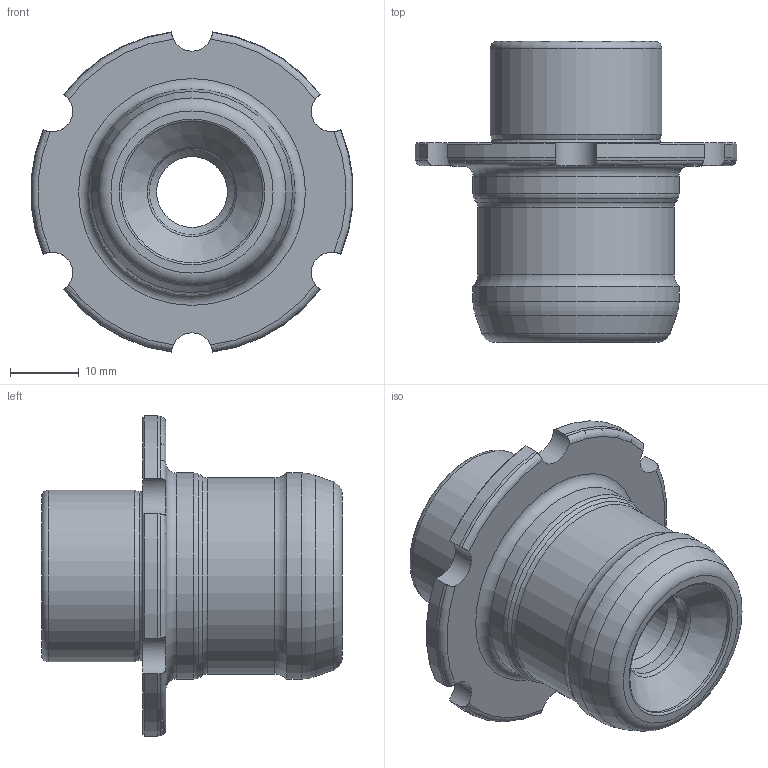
import cadquery as cq
import math


TOTAL_LENGTH = 43.8
FLANGE_FRONT = 25.7
FLANGE_BACK = 29.05

FLANGE_RADIUS = 47.0 / 2
FLANGE_TAPER_START = 26.9
FLANGE_TAPER_ANGLE = math.radians(12)
FLANGE_EDGE_ROUND = 1.0
FLANGE_BACK_CHAMFER = 0.2
NOTCH_COUNT = 6
NOTCH_RADIUS = 3.0

COLLAR_RADIUS = 30.0 / 2
WAIST_RADIUS = 28.59 / 2
NOSE_ROUND = 2.0
NOSE_ANGLE = math.radians(20)
NOSE_BLEND_RADIUS = 6.0
NOSE_FLAT_RADIUS = 11.8
NOSE_BAND_END = 8.1
WAIST_FRONT_ROUND = 2.5
WAIST_BACK = 19.65
WAIST_RAMP_ANGLE = math.radians(30)
WAIST_RAMP_ROUND = 1.4
FLANGE_FILLET = 1.5

SPIGOT_RADIUS = 25.0 / 2
SPIGOT_NECK_DEPTH = 0.3
SPIGOT_NECK_FILLET = 0.5
SPIGOT_START = 30.25
SPIGOT_END_ROUND = 1.0

BORE_RADIUS = 10.3 / 2
COUNTERBORE_RADIUS = 12.4 / 2
MOUTH_RADIUS = 20.6 / 2
MOUTH_ROUND = 0.3
CONE_START = 0.7
MOUTH_ANGLE = math.radians(45)
THROAT_ROUND = 1.0
COUNTERBORE_LENGTH = 1.55
BORE_CHAMFER_ANGLE = math.radians(45)


def arc_point(center, radius, angle):
    """Point on a profile arc; the angle is measured from the radial direction."""
    return (
        center[0] + radius * math.cos(angle),
        center[1] + radius * math.sin(angle),
    )


def make_body():
    """Solid of revolution without the bore; profile points are (radius, axial)."""
    nose_center = (NOSE_FLAT_RADIUS, NOSE_ROUND)
    nose_mid_angle = -(math.pi / 2 + NOSE_ANGLE) / 2
    cone_start = arc_point(nose_center, NOSE_ROUND, -NOSE_ANGLE)
    blend_center_radius = COLLAR_RADIUS - NOSE_BLEND_RADIUS
    cone_end_radius = blend_center_radius + NOSE_BLEND_RADIUS * math.cos(NOSE_ANGLE)
    cone_end_axial = cone_start[1] + (cone_end_radius - cone_start[0]) / math.tan(NOSE_ANGLE)
    band_start = cone_end_axial + NOSE_BLEND_RADIUS * math.sin(NOSE_ANGLE)
    blend_center = (blend_center_radius, band_start)

    waist_step = COLLAR_RADIUS - WAIST_RADIUS
    waist_sweep = math.acos(1 - waist_step / WAIST_FRONT_ROUND)
    waist_front = NOSE_BAND_END + WAIST_FRONT_ROUND * math.sin(waist_sweep)
    waist_center = (WAIST_RADIUS + WAIST_FRONT_ROUND, waist_front)

    ramp_round_height = WAIST_RAMP_ROUND * (1 - math.cos(WAIST_RAMP_ANGLE))
    ramp_length = (waist_step - 2 * ramp_round_height) / math.tan(WAIST_RAMP_ANGLE)
    collar_start = WAIST_BACK + 2 * WAIST_RAMP_ROUND * math.sin(WAIST_RAMP_ANGLE) + ramp_length
    ramp_foot_center = (WAIST_RADIUS + WAIST_RAMP_ROUND, WAIST_BACK)
    ramp_head_center = (COLLAR_RADIUS - WAIST_RAMP_ROUND, collar_start)

    fillet_center = (COLLAR_RADIUS + FLANGE_FILLET, FLANGE_FRONT - FLANGE_FILLET)

    edge_center_axial = FLANGE_FRONT + FLANGE_EDGE_ROUND
    taper_end_axial = edge_center_axial - FLANGE_EDGE_ROUND * math.sin(FLANGE_TAPER_ANGLE)
    taper_drop = (FLANGE_TAPER_START - taper_end_axial) * math.tan(FLANGE_TAPER_ANGLE)
    taper_end_radius = FLANGE_RADIUS - taper_drop
    edge_center = (
        taper_end_radius - FLANGE_EDGE_ROUND * math.cos(FLANGE_TAPER_ANGLE),
        edge_center_axial,
    )
    edge_mid_angle = -(math.pi / 2 + FLANGE_TAPER_ANGLE) / 2

    neck_radius = SPIGOT_RADIUS - SPIGOT_NECK_DEPTH
    neck_fillet_center = (neck_radius + SPIGOT_NECK_FILLET, FLANGE_BACK + SPIGOT_NECK_FILLET)
    spigot_end_center = (SPIGOT_RADIUS - SPIGOT_END_ROUND, TOTAL_LENGTH - SPIGOT_END_ROUND)

    profile = (
        cq.Workplane("XY")
        .moveTo(0, 0)
        .lineTo(NOSE_FLAT_RADIUS, 0)
        .threePointArc(arc_point(nose_center, NOSE_ROUND, nose_mid_angle), cone_start)
        .lineTo(cone_end_radius, cone_end_axial)
        .threePointArc(
            arc_point(blend_center, NOSE_BLEND_RADIUS, -NOSE_ANGLE / 2),
            (COLLAR_RADIUS, band_start),
        )
        .lineTo(COLLAR_RADIUS, NOSE_BAND_END)
        .threePointArc(
            arc_point(waist_center, WAIST_FRONT_ROUND, math.pi + waist_sweep / 2),
            (WAIST_RADIUS, waist_front),
        )
        .lineTo(WAIST_RADIUS, WAIST_BACK)
        .threePointArc(
            arc_point(ramp_foot_center, WAIST_RAMP_ROUND, math.pi - WAIST_RAMP_ANGLE / 2),
            arc_point(ramp_foot_center, WAIST_RAMP_ROUND, math.pi - WAIST_RAMP_ANGLE),
        )
        .lineTo(*arc_point(ramp_head_center, WAIST_RAMP_ROUND, -WAIST_RAMP_ANGLE))
        .threePointArc(
            arc_point(ramp_head_center, WAIST_RAMP_ROUND, -WAIST_RAMP_ANGLE / 2),
            (COLLAR_RADIUS, collar_start),
        )
        .lineTo(COLLAR_RADIUS, fillet_center[1])
        .threePointArc(
            arc_point(fillet_center, FLANGE_FILLET, math.radians(135)),
            (fillet_center[0], FLANGE_FRONT),
        )
        .lineTo(edge_center[0], FLANGE_FRONT)
        .threePointArc(
            arc_point(edge_center, FLANGE_EDGE_ROUND, edge_mid_angle),
            (taper_end_radius, taper_end_axial),
        )
        .lineTo(FLANGE_RADIUS, FLANGE_TAPER_START)
        .lineTo(FLANGE_RADIUS, FLANGE_BACK - FLANGE_BACK_CHAMFER)
        .lineTo(FLANGE_RADIUS - FLANGE_BACK_CHAMFER, FLANGE_BACK)
        .lineTo(neck_fillet_center[0], FLANGE_BACK)
        .threePointArc(
            arc_point(neck_fillet_center, SPIGOT_NECK_FILLET, math.radians(-135)),
            (neck_radius, neck_fillet_center[1]),
        )
        .lineTo(SPIGOT_RADIUS, SPIGOT_START)
        .lineTo(SPIGOT_RADIUS, spigot_end_center[1])
        .threePointArc(
            arc_point(spigot_end_center, SPIGOT_END_ROUND, math.radians(45)),
            (spigot_end_center[0], TOTAL_LENGTH),
        )
        .lineTo(0, TOTAL_LENGTH)
        .close()
    )
    return profile.revolve(360, (0, 0, 0), (0, 1, 0))


def make_bore():
    """Rounded lip, conical mouth, rounded throat, counterbore and through bore as one cutter."""
    lip_center = (MOUTH_RADIUS + MOUTH_ROUND, MOUTH_ROUND)
    throat_center_radius = COUNTERBORE_RADIUS + THROAT_ROUND
    throat_start_radius = throat_center_radius - THROAT_ROUND * math.cos(MOUTH_ANGLE)
    cone_length = (MOUTH_RADIUS - throat_start_radius) / math.tan(MOUTH_ANGLE)
    throat_start = CONE_START + cone_length
    throat_end = throat_start + THROAT_ROUND * math.sin(MOUTH_ANGLE)
    throat_center = (throat_center_radius, throat_end)
    counterbore_end = throat_end + COUNTERBORE_LENGTH
    bore_start = counterbore_end + (COUNTERBORE_RADIUS - BORE_RADIUS) / math.tan(BORE_CHAMFER_ANGLE)

    profile = (
        cq.Workplane("XY")
        .moveTo(0, 0)
        .lineTo(lip_center[0], 0)
        .threePointArc(
            arc_point(lip_center, MOUTH_ROUND, math.radians(-135)),
            (MOUTH_RADIUS, lip_center[1]),
        )
        .lineTo(MOUTH_RADIUS, CONE_START)
        .lineTo(throat_start_radius, throat_start)
        .threePointArc(
            arc_point(throat_center, THROAT_ROUND, math.pi + MOUTH_ANGLE / 2),
            (COUNTERBORE_RADIUS, throat_end),
        )
        .lineTo(COUNTERBORE_RADIUS, counterbore_end)
        .lineTo(BORE_RADIUS, bore_start)
        .lineTo(BORE_RADIUS, TOTAL_LENGTH)
        .lineTo(0, TOTAL_LENGTH)
        .close()
    )
    return profile.revolve(360, (0, 0, 0), (0, 1, 0))


def make_notches():
    """Round cutters centred on the flange rim, parallel to the Y axis."""
    return (
        cq.Workplane("XZ", origin=(0, FLANGE_FRONT, 0))
        .polarArray(FLANGE_RADIUS, 90, 360, NOTCH_COUNT)
        .circle(NOTCH_RADIUS)
        .extrude(FLANGE_FRONT - FLANGE_BACK)
    )


turned = make_body().cut(make_bore()).cut(make_notches())
result = turned.translate((0, -FLANGE_FRONT, 0))